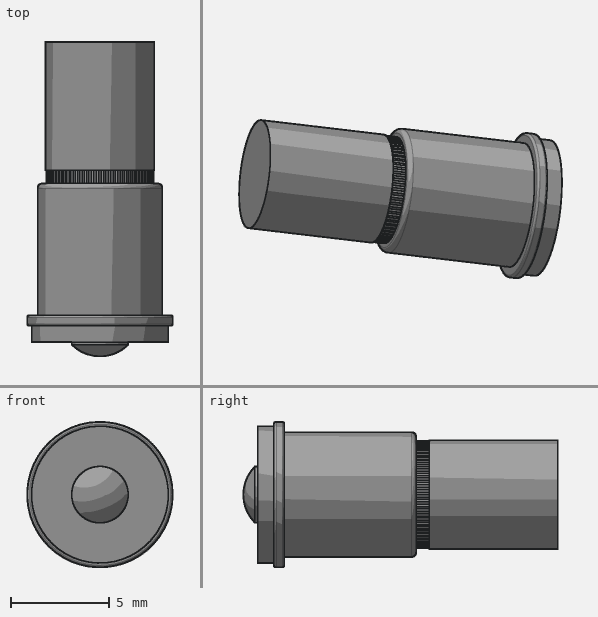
import cadquery as cq
import math


rim_diameter = 6.95
rim_length = 0.82
flange_diameter = 7.4
flange_length = 0.55
flange_edge_radius = 0.12
barrel_diameter = 6.35
barrel_length = 6.69
barrel_edge_radius = 0.25

contact_diameter = 2.87
contact_land = 0.13
dome_height = 0.6

lens_diameter = 5.54
lens_length = 6.52
neck_length = 0.67
tooth_count = 69
tooth_depth = 0.03
tip_clearance = 0.04
tooth_tip_radius = lens_diameter / 2 - tip_clearance

flange_front = rim_length
flange_back = flange_front + flange_length
barrel_back = flange_back + barrel_length
neck_back = barrel_back + neck_length


def disc(diameter, start, length):
    """Solid cylinder about the Y axis, running from start toward +Y."""
    plane = cq.Workplane("XZ", origin=(0, start, 0))
    return plane.circle(diameter / 2).extrude(-length)


def make_contact():
    """Short cylindrical land capped by a spherical dome, pointing to -Y."""
    radius = contact_diameter / 2
    sphere_radius = (radius**2 + dome_height**2) / (2 * dome_height)
    tip = -(contact_land + dome_height)
    half_angle = math.asin(radius / sphere_radius) / 2
    arc_middle = (
        sphere_radius * math.sin(half_angle),
        tip + sphere_radius * (1 - math.cos(half_angle)),
    )
    profile = (
        cq.Workplane("XY")
        .moveTo(0, 0)
        .lineTo(radius, 0)
        .lineTo(radius, -contact_land)
        .threePointArc(arc_middle, (0, tip))
        .close()
    )
    return profile.revolve(360, (0, 0, 0), (0, 1, 0))


def make_base():
    """Rim, rounded flange and barrel in line, with the domed contact in front."""
    rim = disc(rim_diameter, 0, rim_length)
    flange = disc(flange_diameter, flange_front, flange_length).edges().fillet(flange_edge_radius)
    barrel = disc(barrel_diameter, flange_back, barrel_length).edges(">Y").fillet(barrel_edge_radius)
    return rim.union(flange).union(barrel).union(make_contact())


def make_lens():
    """Plain cylinder on a serrated neck that stands on the back face of the base."""
    points = []
    for step in range(2 * tooth_count):
        radius = tooth_tip_radius - tooth_depth * (step % 2)
        angle = math.pi + math.pi * step / tooth_count
        points.append((radius * math.cos(angle), radius * math.sin(angle)))
    neck_plane = cq.Workplane("XZ", origin=(0, barrel_back, 0))
    neck = neck_plane.polyline(points).close().extrude(-neck_length)
    return neck.union(disc(lens_diameter, neck_back, lens_length))


base = make_base()
lens = make_lens()

result = cq.Compound.makeCompound([base.val(), lens.val()])